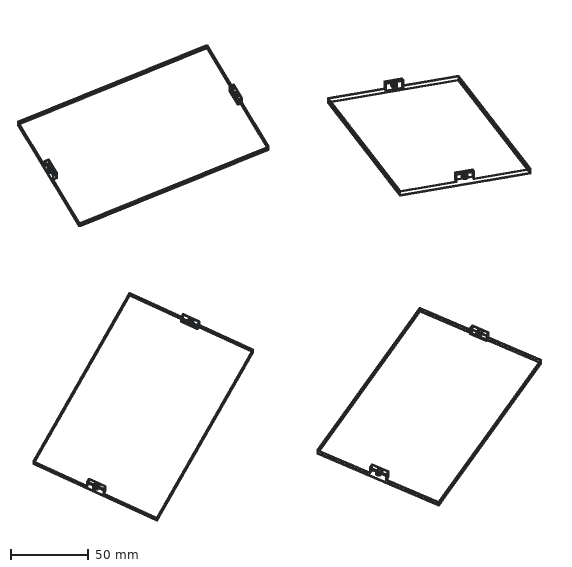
import cadquery as cq

plate_width = 90.0
plate_length = 137.0
plate_thickness = 3.0

total_height = 8.2
tab_width = 12.0
tab_thickness = 3.0
hole_diameter = 3.3
hole_height = 5.6


def end_tab(side):
    """Drilled tab at the -Y end (side = -1) or the +Y end (side = 1)."""
    center_y = side * (plate_length - tab_thickness) / 2
    tab = (
        cq.Workplane("XY")
        .center(0, center_y)
        .box(tab_width, tab_thickness, total_height, centered=(True, True, False))
    )
    hole = (
        cq.Workplane("XZ", origin=(0, center_y, hole_height))
        .circle(hole_diameter / 2)
        .extrude(tab_thickness, both=True)
    )
    return tab.cut(hole)


result = cq.Workplane("XY").box(
    plate_width, plate_length, plate_thickness, centered=(True, True, False)
)
for side in (-1, 1):
    result = result.union(end_tab(side))